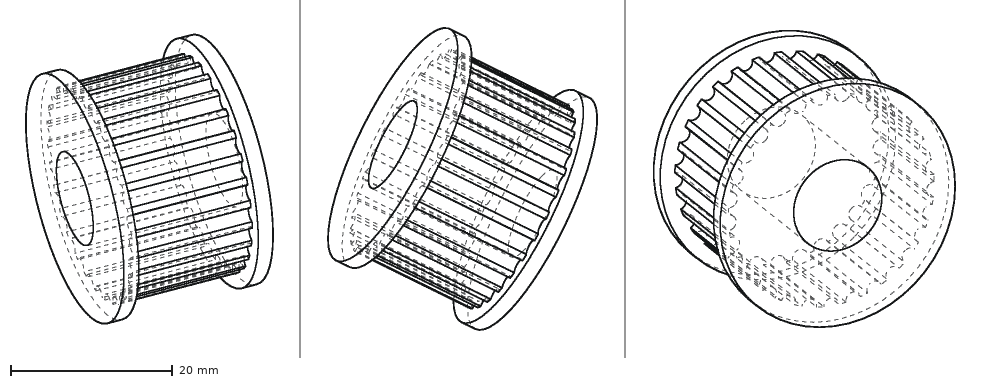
import cadquery as cq

flange_diameter = 32.0
pulley_width = 20.0
belt_width = 16.0
bore_diameter = 12.0
flange_width = (pulley_width - belt_width) / 2

tooth_count = 29
tooth_tip_diameter = 28.0
groove_radius = 1.02
tooth_pitch_angle = 360 / tooth_count
first_groove_angle = 90 + tooth_pitch_angle / 2


def disc(diameter, width, y_start):
    """Solid disc on the pulley axis, extending towards +Y from y_start."""
    plane = cq.Workplane("XZ", origin=(0, y_start, 0))
    return plane.circle(diameter / 2).extrude(-width)


def belt_grooves():
    """Cylinders centred on the tooth tip circle, one for each belt groove."""
    return (
        cq.Workplane("XZ", origin=(0, -belt_width / 2, 0))
        .polarArray(tooth_tip_diameter / 2, first_groove_angle, 360, tooth_count)
        .circle(groove_radius)
        .extrude(-belt_width)
    )


toothed_rim = disc(tooth_tip_diameter, belt_width, -belt_width / 2).cut(belt_grooves())
front_flange = disc(flange_diameter, flange_width, -pulley_width / 2)
back_flange = disc(flange_diameter, flange_width, belt_width / 2)
bore = disc(bore_diameter, pulley_width, -pulley_width / 2)

result = toothed_rim.union(front_flange).union(back_flange).cut(bore)